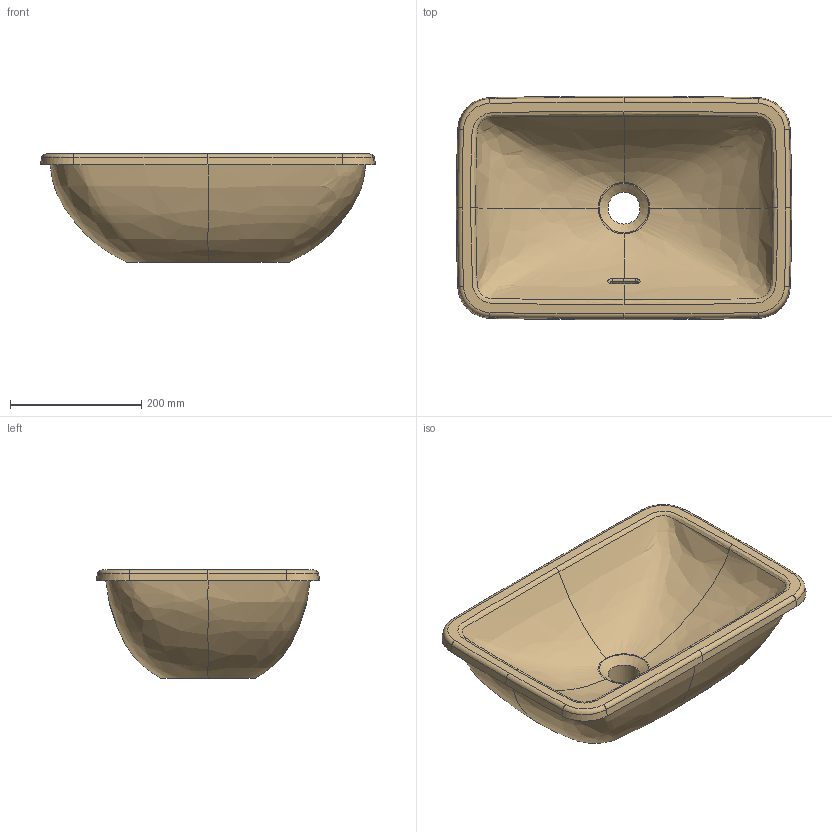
import cadquery as cq
import math

LENGTH = 510.0
WIDTH = 340.0
HEIGHT = 164.32

RIM_BOW = 2.0
FLANGE_THICKNESS = 16.5
FLANGE_CORNER_RADIUS = 50.0
FLANGE_TAPER = 3.0
FLANGE_EDGE_RADIUS = 7.0

BODY_SECTIONS = [
    (FLANGE_THICKNESS, 240.0, 155.5, 55.0, 2.0),
    (46.0, 235.0, 151.0, 59.0, 3.0),
    (74.0, 223.0, 143.0, 61.0, 4.0),
    (100.0, 205.5, 132.5, 60.0, 5.0),
    (126.0, 182.0, 117.5, 56.0, 6.0),
    (146.0, 157.0, 99.0, 47.0, 6.0),
    (HEIGHT, 123.5, 72.0, 35.0, 6.0),
]

DRAIN_DEPTH = 115.0
DRAIN_RING_RADIUS = 39.0
DRAIN_SEAT_RADIUS = 37.5
DRAIN_HOLE_RADIUS = 24.3
DRAIN_SEAT_DROP = 10.0

RIM_WIDTH = 28.0
BOWL_MOUTH_HALF_LENGTH = LENGTH / 2 - RIM_WIDTH
BOWL_MOUTH_HALF_WIDTH = WIDTH / 2 - RIM_WIDTH
BOWL_MOUTH_RADIUS = 24.0
BOWL_MOUTH_ROUNDING = 8.0
BOWL_SECTIONS = [
    (0.0, BOWL_MOUTH_HALF_LENGTH, BOWL_MOUTH_HALF_WIDTH, BOWL_MOUTH_RADIUS, RIM_BOW),
    (27.0, 215.0, 127.5, 33.0, 2.0),
    (62.0, 178.0, 102.0, 40.0, 4.0),
    (88.0, 135.0, 77.0, 44.0, 6.0),
    (106.0, 86.0, 54.0, 34.0, 7.0),
    (DRAIN_DEPTH, DRAIN_RING_RADIUS, DRAIN_RING_RADIUS, 32.0, 1.6),
]

SLOT_LENGTH = 43.0
SLOT_HEIGHT = 8.0
SLOT_MOUTH_ROUNDING = 3.0
SLOT_Y = -112.0
SLOT_DEPTH_BELOW_RIM = 50.0
SLOT_CUT_DEPTH = 12.0
SLOT_TILT = 40.0
SLOT_CLEARANCE = 20.0

SELECTION_MARGIN = 1.0


def side_turn(middle, corner_along, corner_across, corner_radius):
    """Radius of a bowed side and the angle it turns from its middle to where the corner begins.

    The side is a large arc that runs tangent into the corner arc. middle is the distance from
    the centre to the middle of the side; the corner arc is centred at (along, across).
    """
    reach = middle - corner_across
    side_radius = (reach**2 - corner_radius**2 + corner_along**2) / (2 * (reach - corner_radius))
    return side_radius, math.asin(corner_along / (side_radius - corner_radius))


def quarter_arcs(half_length, half_width, corner_radius, bow):
    """The +X +Y quarter of a bowed outline as three arcs: (centre, radius, start angle, end angle)."""
    corner_x = half_length - bow - corner_radius
    corner_y = half_width - bow - corner_radius
    end_radius, end_turn = side_turn(half_length, corner_y, corner_x, corner_radius)
    long_radius, long_turn = side_turn(half_width, corner_x, corner_y, corner_radius)
    quarter = math.pi / 2
    return [
        ((half_length - end_radius, 0.0), end_radius, 0.0, end_turn),
        ((corner_x, corner_y), corner_radius, end_turn, quarter - long_turn),
        ((0.0, half_width - long_radius), long_radius, quarter - long_turn, quarter),
    ]


def quarter_points(half_length, half_width, corner_radius, bow):
    """Start, middle and end of the three arcs of the quarter, each as (position, direction)."""
    points = [(cq.Vector(half_length, 0), cq.Vector(0, 1))]
    arcs = quarter_arcs(half_length, half_width, corner_radius, bow)
    for (centre_x, centre_y), radius, start, end in arcs:
        for angle in ((start + end) / 2, end):
            outward = cq.Vector(math.cos(angle), math.sin(angle))
            direction = cq.Vector(-math.sin(angle), math.cos(angle))
            points.append((cq.Vector(centre_x, centre_y) + outward * radius, direction))
    return points


def outline_from(quarter_edges, depth):
    """Wire at the given depth from the edges of one quarter, mirrored to the other three."""
    half = quarter_edges + [edge.mirror("YZ") for edge in reversed(quarter_edges)]
    whole = half + [edge.mirror("XZ") for edge in reversed(half)]
    return cq.Wire.assembleEdges(whole).translate(cq.Vector(0, 0, -depth))


def arc_outline(depth, half_length, half_width, corner_radius, bow):
    """Bowed outline made of tangent arcs, with each side split at its middle."""
    positions = [position for position, _ in quarter_points(half_length, half_width, corner_radius, bow)]
    arcs = [cq.Edge.makeThreePointArc(*positions[i:i + 3]) for i in range(0, len(positions) - 1, 2)]
    return outline_from(arcs, depth)


def smooth_outline(depth, half_length, half_width, corner_radius, bow):
    """Bowed outline made of four smooth curves that meet at the middles of the sides."""
    positions, directions = zip(*quarter_points(half_length, half_width, corner_radius, bow))
    return outline_from([cq.Edge.makeSpline(positions, tangents=directions)], depth)


def loft_through(outline, sections):
    """Smooth solid through the outlines of the sections."""
    wires = [outline(*section) for section in sections]
    return cq.Workplane(cq.Solid.makeLoft(wires))


def flange_section(depth, inset):
    """Section of the flange, moved inwards all round by the inset."""
    return depth, LENGTH / 2 - inset, WIDTH / 2 - inset, FLANGE_CORNER_RADIUS - inset, RIM_BOW


def make_flange():
    """Tapered rim slab with a rounded top edge."""
    flange = loft_through(arc_outline, [
        flange_section(FLANGE_THICKNESS, 0.0),
        flange_section(0.0, FLANGE_TAPER),
    ])
    return flange.faces(">Z").edges().fillet(FLANGE_EDGE_RADIUS)


def make_bowl_cavity():
    return loft_through(smooth_outline, BOWL_SECTIONS)


def make_drain():
    """Conical seat and straight waste hole through the bottom."""
    seat_bottom = DRAIN_DEPTH + DRAIN_SEAT_DROP
    return (
        cq.Workplane("XZ")
        .moveTo(0, -DRAIN_DEPTH)
        .lineTo(DRAIN_SEAT_RADIUS, -DRAIN_DEPTH)
        .lineTo(DRAIN_HOLE_RADIUS, -seat_bottom)
        .lineTo(DRAIN_HOLE_RADIUS, -HEIGHT)
        .lineTo(0, -HEIGHT)
        .close()
        .revolve(360, (0, 0), (0, 1))
    )


def make_overflow_slot():
    """Cutter for the overflow slot, leaning down and outwards through the bowl wall."""
    tilt = math.radians(SLOT_TILT)
    wall_plane = cq.Plane(
        origin=(0, SLOT_Y, -SLOT_DEPTH_BELOW_RIM),
        xDir=(1, 0, 0),
        normal=(0, -math.cos(tilt), -math.sin(tilt)),
    )
    return (
        cq.Workplane(wall_plane)
        .workplane(offset=-SLOT_CLEARANCE)
        .slot2D(SLOT_LENGTH, SLOT_HEIGHT)
        .extrude(SLOT_CLEARANCE + SLOT_CUT_DEPTH)
    )


def round_bowl_mouth(basin):
    """Round the sharp edge between the rim's flat top and the bowl."""
    reach_x = BOWL_MOUTH_HALF_LENGTH + SELECTION_MARGIN
    reach_y = BOWL_MOUTH_HALF_WIDTH + SELECTION_MARGIN
    inside_rim = cq.selectors.BoxSelector(
        (-reach_x, -reach_y, -SELECTION_MARGIN),
        (reach_x, reach_y, SELECTION_MARGIN),
    )
    return basin.faces(">Z").edges(inside_rim).fillet(BOWL_MOUTH_ROUNDING)


def round_slot_mouth(basin):
    """Round the edge where the overflow slot breaks into the bowl wall."""
    around_mouth = cq.selectors.BoxSelector(
        (-SLOT_LENGTH, SLOT_Y - SLOT_HEIGHT / 2, -SLOT_DEPTH_BELOW_RIM - SLOT_HEIGHT),
        (SLOT_LENGTH, SLOT_Y + SLOT_HEIGHT, -SLOT_DEPTH_BELOW_RIM + SLOT_HEIGHT),
        boundingbox=True,
    )
    return basin.edges(around_mouth).fillet(SLOT_MOUTH_ROUNDING)


body = make_flange().union(loft_through(smooth_outline, BODY_SECTIONS))
basin = round_bowl_mouth(body.cut(make_bowl_cavity()))
result = round_slot_mouth(basin.cut(make_drain()).cut(make_overflow_slot()))